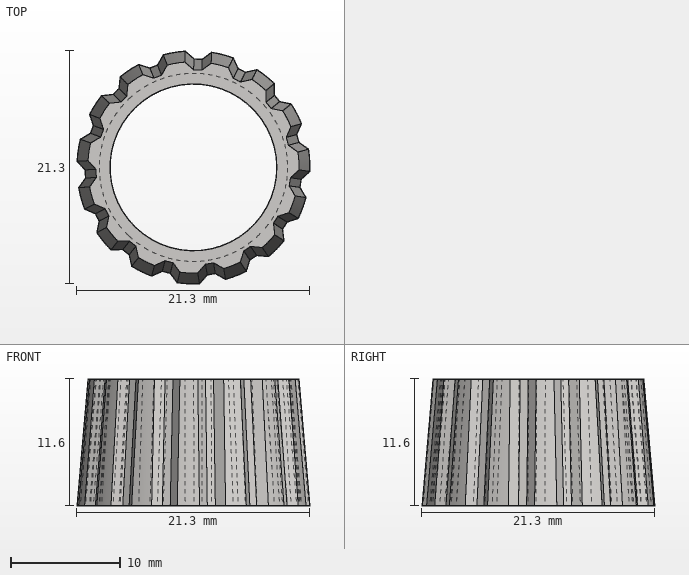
import cadquery as cq

height = 11.6
base_radius = 10.66
taper_inset = 1.0
base_bore_radius = 8.62

groove_count = 15
first_groove_angle = 87.5
groove_floor_distance = 9.92
groove_floor_width = 0.75
groove_depth = 0.68
groove_mouth_width = 2.43
cutter_reach = 1.28


def cone(bottom_radius):
    """Upright frustum that narrows by the common inset."""
    return cq.Workplane("XY").add(
        cq.Solid.makeCone(bottom_radius, bottom_radius - taper_inset, height)
    )


def groove_cutter():
    """Trapezoidal bar along +X, leaning inward with the outer surface."""
    flank_slope = (groove_mouth_width - groove_floor_width) / 2 / groove_depth
    half_floor = groove_floor_width / 2
    half_outer = half_floor + flank_slope * cutter_reach

    def section(floor_distance):
        outer_distance = floor_distance + cutter_reach
        return [
            (floor_distance, -half_floor),
            (outer_distance, -half_outer),
            (outer_distance, half_outer),
            (floor_distance, half_floor),
        ]

    return (
        cq.Workplane("XY")
        .polyline(section(groove_floor_distance))
        .close()
        .workplane(offset=height)
        .polyline(section(groove_floor_distance - taper_inset))
        .close()
        .loft(ruled=True)
    )


result = cone(base_radius).cut(cone(base_bore_radius))

cutter = groove_cutter()
for index in range(groove_count):
    angle = first_groove_angle + index * 360 / groove_count
    result = result.cut(cutter.rotate((0, 0, 0), (0, 0, 1), angle))